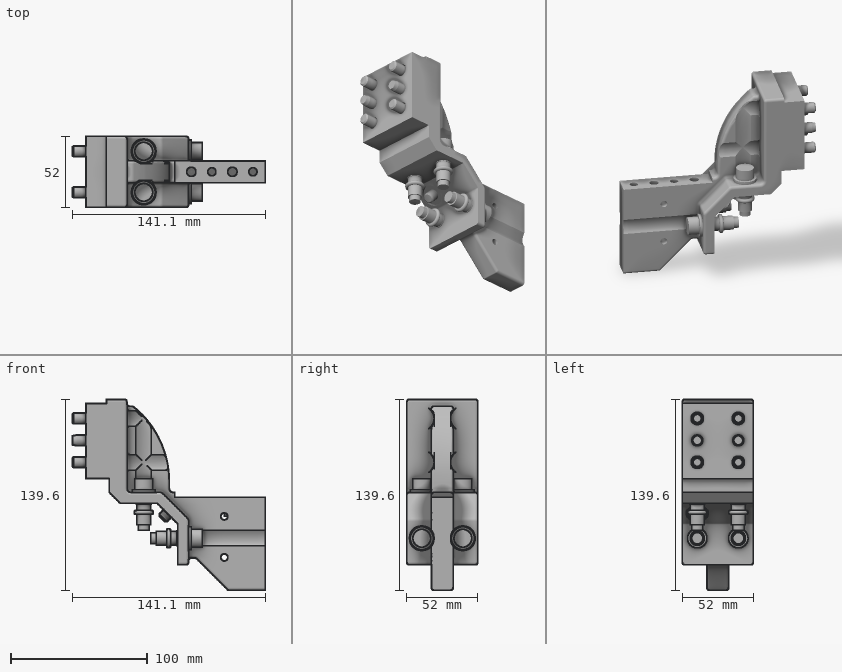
import cadquery as cq
import math


WIDTH = 52.0
BLOCK_HEIGHT = 55.0
LIP_X = 15.0
TOP_Z = 58.0
BACK_X = 30.0
NECK_X = 17.0
SHELF_Z = -10.0
PLATE_T = 8.0
FOOT_X = 75.0
FOOT_END_Z = -63.0
DIAGONAL_SUM = 34.0
BEND_R = 3.0
INNER_BEND_R = 1.5
EDGE_R = 2.0

RIB_W = 16.0
RIB_TOP_Z = 53.0
RIB_X = 60.9
RIB_ARC_R = 70.0
RIB_ARC_CENTER_Z = -2.0
RIB_TOE_X = 65.0
TAIL_TOP_Z = -13.5
TAIL_END_X = 131.06
TAIL_BOTTOM_Z = -81.56
TAIL_NECK_Z = -58.0
TAIL_CHAMFER_SUM = 22.4
TAIL_CORNER_R = 1.0
RIB_ROOT_R = 1.8
RIB_BURIAL = 4.0

PAIR_Y = 15.0
PIN_ROW_Z = 28.0
ROW_PITCH = 16.0
PIN_D = 8.0
PIN_LENGTH = 10.0
SCREW_CHAMFER = 1.0
DOWEL_TAPER_LENGTH = 3.0
DOWEL_TAPER = 0.7
SCREW_HOLE_D = 9.0
SCREW_HOLE_DEPTH = 10.0
CHANNEL_R = 9.0
SPOTFACE_DEPTH = 0.2

SHELF_STUD_X = 42.2
FOOT_STUD_Z = -43.5
WASHER_R = 8.4
WASHER_T = 2.0
HEAD_R = 6.5
HEAD_LENGTH = 10.0
SHANK_R = 5.2
COLLAR_R = 5.6
COLLAR_LENGTH = 0.6
SHANK_LENGTH = 15.8
TIP_R = 4.15
STUD_LENGTH = 19.7
RING_R = 1.5
RING_OFFSET = 6.6
RING_CENTER_R = 5.6

DIAGONAL_PIN_LENGTH = 5.6
RECESS_D = 16.0
RECESS_DEPTH = 2.0

TAIL_HOLE_X = 77.0
TAIL_HOLE_PITCH = 15.0
TAIL_HOLE_DIAMETERS = (6.8, 6.0, 6.8, 6.0)
TAIL_HOLE_DEPTH = 12.0
CROSS_HOLE_D = 5.0
CROSS_HOLE_X = 101.1
CROSS_HOLE_ZS = (-27.5, -57.5)
BUSHING_D = 12.0
BUSHED_HOLE = 2

UNDER_Z = SHELF_Z - PLATE_T
FOOT_INNER_X = FOOT_X - PLATE_T
OUTER_SUM = DIAGONAL_SUM + PLATE_T * math.sqrt(2)
HALF_RIB = RIB_W / 2
SCREW_ZS = (PIN_ROW_Z - ROW_PITCH, PIN_ROW_Z + ROW_PITCH)
SIDES = (-1, 1)
SEARCH_REACH = 0.5


def extruded_about_middle(outline, width):
    return outline.close().extrude(width / 2, both=True)


def edges_at(solid, x, z, half_span=WIDTH):
    """Edges whose middle is at (x, z), no farther than half_span from the middle plane."""
    low = (x - SEARCH_REACH, -half_span, z - SEARCH_REACH)
    high = (x + SEARCH_REACH, half_span, z + SEARCH_REACH)
    return solid.edges(cq.selectors.BoxSelector(low, high))


def bracket():
    outline = (
        cq.Workplane("XZ")
        .moveTo(0, 0)
        .lineTo(0, BLOCK_HEIGHT)
        .lineTo(LIP_X, BLOCK_HEIGHT)
        .lineTo(LIP_X, TOP_Z)
        .lineTo(BACK_X, TOP_Z)
        .lineTo(BACK_X, SHELF_Z)
        .lineTo(OUTER_SUM - SHELF_Z, SHELF_Z)
        .lineTo(FOOT_X, OUTER_SUM - FOOT_X)
        .lineTo(FOOT_X, FOOT_END_Z)
        .lineTo(FOOT_INNER_X, FOOT_END_Z)
        .lineTo(FOOT_INNER_X, DIAGONAL_SUM - FOOT_INNER_X)
        .lineTo(DIAGONAL_SUM - UNDER_Z, UNDER_Z)
        .lineTo(NECK_X + PLATE_T, UNDER_Z)
        .lineTo(NECK_X, UNDER_Z + PLATE_T)
        .lineTo(NECK_X, 0)
    )
    body = extruded_about_middle(outline, WIDTH)
    outer_bends = (
        (BACK_X, SHELF_Z),
        (OUTER_SUM - SHELF_Z, SHELF_Z),
        (FOOT_X, OUTER_SUM - FOOT_X),
    )
    for x, z in outer_bends:
        body = edges_at(body, x, z).fillet(BEND_R)
    body = edges_at(body, FOOT_INNER_X, DIAGONAL_SUM - FOOT_INNER_X).fillet(INNER_BEND_R)

    edge_middles = (
        ((LIP_X + BACK_X) / 2, TOP_Z),
        (BACK_X, TOP_Z),
        (BACK_X, (TOP_Z + SHELF_Z + BEND_R) / 2),
        (FOOT_X, FOOT_END_Z),
        ((FOOT_X + FOOT_INNER_X) / 2, FOOT_END_Z),
    )
    rounded = cq.Workplane()
    for x, z in edge_middles:
        rounded = rounded.add(edges_at(body, x, z).vals())
    return body.newObject(rounded.vals()).fillet(EDGE_R)


def rib():
    arc_center_x = RIB_X - RIB_ARC_R

    def on_arc(z):
        rise = z - RIB_ARC_CENTER_Z
        return arc_center_x + math.sqrt(RIB_ARC_R**2 - rise**2)

    arc_middle_z = (RIB_TOP_Z + RIB_ARC_CENTER_Z) / 2
    toe_bend = BEND_R * (1 - math.sqrt(0.5))
    inner_x = BACK_X - RIB_BURIAL
    inner_z = SHELF_Z - RIB_BURIAL
    inner_sum = OUTER_SUM - RIB_BURIAL * math.sqrt(2)
    foot_x = FOOT_X - RIB_BURIAL
    tail_neck_x = TAIL_CHAMFER_SUM - TAIL_NECK_Z
    tail_corner_x = TAIL_CHAMFER_SUM - TAIL_BOTTOM_Z
    outline = (
        cq.Workplane("XZ")
        .moveTo(inner_x, RIB_TOP_Z)
        .lineTo(on_arc(RIB_TOP_Z), RIB_TOP_Z)
        .threePointArc((on_arc(arc_middle_z), arc_middle_z), (RIB_X, RIB_ARC_CENTER_Z))
        .lineTo(RIB_X, SHELF_Z + BEND_R)
        .threePointArc((RIB_X + toe_bend, SHELF_Z + toe_bend), (RIB_X + BEND_R, SHELF_Z))
        .lineTo(RIB_TOE_X, SHELF_Z)
        .lineTo(RIB_TOE_X, TAIL_TOP_Z)
        .lineTo(TAIL_END_X, TAIL_TOP_Z)
        .lineTo(TAIL_END_X, TAIL_BOTTOM_Z)
        .lineTo(tail_corner_x, TAIL_BOTTOM_Z)
        .lineTo(tail_neck_x, TAIL_NECK_Z)
        .lineTo(foot_x, TAIL_NECK_Z)
        .lineTo(foot_x, inner_sum - foot_x)
        .lineTo(inner_sum - inner_z, inner_z)
        .lineTo(inner_x, inner_z)
    )
    body = extruded_about_middle(outline, RIB_W)
    body = edges_at(body, on_arc(RIB_TOP_Z), RIB_TOP_Z).fillet(BEND_R)
    body = edges_at(body, tail_neck_x, TAIL_NECK_Z).fillet(BEND_R)
    body = edges_at(body, tail_corner_x, TAIL_BOTTOM_Z).fillet(TAIL_CORNER_R)

    gusset_rim = edges_at(body, RIB_X, (RIB_ARC_CENTER_Z + SHELF_Z + BEND_R) / 2)
    tail_rim = edges_at(body, (TAIL_END_X + tail_corner_x) / 2, TAIL_BOTTOM_Z)
    return gusset_rim.add(tail_rim).fillet(EDGE_R)


def bracket_with_rib():
    """Rib and bracket joined, with a fillet all round the root of the rib."""
    body = bracket().union(rib())
    root_middle_z = (RIB_TOP_Z - EDGE_R + SHELF_Z + BEND_R) / 2
    return edges_at(body, BACK_X, root_middle_z, RIB_W).fillet(RIB_ROOT_R)


def cylinder(start, direction, radius, length):
    return cq.Workplane(cq.Solid.makeCylinder(radius, length, cq.Vector(*start), cq.Vector(*direction)))


def channels():
    """Round channels along the rib, in line with every screw and stud."""
    shelf_face = SHELF_Z - SPOTFACE_DEPTH
    foot_face = FOOT_X - SPOTFACE_DEPTH
    cuts = cq.Workplane()
    for side in SIDES:
        y = side * PAIR_Y
        for z in SCREW_ZS:
            cuts = cuts.add(cylinder((BACK_X, y, z), (1, 0, 0), CHANNEL_R, TAIL_END_X - BACK_X))
        cuts = cuts.add(cylinder((SHELF_STUD_X, y, shelf_face), (0, 0, 1), CHANNEL_R, TOP_Z - shelf_face))
        cuts = cuts.add(cylinder((foot_face, y, FOOT_STUD_Z), (1, 0, 0), CHANNEL_R, TAIL_END_X - foot_face))
    return cuts


def screw_holes():
    cuts = cq.Workplane()
    for side in SIDES:
        for z in SCREW_ZS:
            start = (0, side * PAIR_Y, z)
            cuts = cuts.add(cylinder(start, (1, 0, 0), SCREW_HOLE_D / 2, SCREW_HOLE_DEPTH))
    return cuts


def block_pins():
    """Two chamfered screw ends and a tapered dowel on either side."""
    pins = cq.Workplane()
    for side in SIDES:
        y = side * PAIR_Y
        for z in SCREW_ZS:
            screw = cylinder((-PIN_LENGTH, y, z), (1, 0, 0), PIN_D / 2, PIN_LENGTH + SCREW_HOLE_DEPTH)
            pins = pins.add(screw.faces("<X").chamfer(SCREW_CHAMFER))
        dowel = cylinder((-PIN_LENGTH, y, PIN_ROW_Z), (1, 0, 0), PIN_D / 2, PIN_LENGTH)
        pins = pins.add(dowel.faces("<X").chamfer(DOWEL_TAPER_LENGTH, DOWEL_TAPER))
    return pins


def stud():
    """Stud along Z with its head up; the plate face is the plane z = 0."""
    shank_end = -PLATE_T - SHANK_LENGTH
    tip_end = -PLATE_T - STUD_LENGTH
    profile = (
        cq.Workplane("XZ")
        .moveTo(0, tip_end)
        .lineTo(TIP_R, tip_end)
        .lineTo(TIP_R, shank_end)
        .lineTo(SHANK_R, shank_end)
        .lineTo(SHANK_R, -PLATE_T - COLLAR_LENGTH)
        .lineTo(COLLAR_R, -PLATE_T - COLLAR_LENGTH)
        .lineTo(COLLAR_R, -SPOTFACE_DEPTH)
        .lineTo(WASHER_R, -SPOTFACE_DEPTH)
        .lineTo(WASHER_R, WASHER_T)
        .lineTo(HEAD_R, WASHER_T)
        .lineTo(HEAD_R, HEAD_LENGTH)
        .lineTo(0, HEAD_LENGTH)
        .close()
    )
    ring = cq.Solid.makeTorus(RING_CENTER_R, RING_R, cq.Vector(0, 0, -PLATE_T - RING_OFFSET))
    return profile.revolve(360, (0, 0), (0, 1)).union(cq.Workplane(ring))


def studs():
    upright = stud()
    lying = upright.rotate((0, 0, 0), (0, 1, 0), 90)
    pairs = cq.Workplane()
    for side in SIDES:
        y = side * PAIR_Y
        pairs = pairs.add(upright.translate((SHELF_STUD_X, y, SHELF_Z)))
        pairs = pairs.add(lying.translate((FOOT_X, y, FOOT_STUD_Z)))
    return pairs


def diagonal_pin_axis():
    """Centre of the diagonal's underside and the direction into the plate."""
    x = (FOOT_INNER_X + DIAGONAL_SUM - UNDER_Z) / 2
    return cq.Vector(x, PAIR_Y, DIAGONAL_SUM - x), cq.Vector(1, 0, 1).normalized()


def diagonal_recess():
    center, inward = diagonal_pin_axis()
    return cylinder(center.toTuple(), inward.toTuple(), RECESS_D / 2, RECESS_DEPTH)


def diagonal_pin():
    center, inward = diagonal_pin_axis()
    tip = center - inward * DIAGONAL_PIN_LENGTH
    length = DIAGONAL_PIN_LENGTH + RECESS_DEPTH
    pin = cylinder(tip.toTuple(), inward.toTuple(), PIN_D / 2, length)
    return pin.faces(cq.selectors.DirectionMinMaxSelector(inward, False)).chamfer(SCREW_CHAMFER)


def cross_holes():
    cuts = cq.Workplane()
    for z in CROSS_HOLE_ZS:
        cuts = cuts.add(cylinder((CROSS_HOLE_X, -HALF_RIB, z), (0, 1, 0), CROSS_HOLE_D / 2, RIB_W))
    return cuts


def bushing():
    """Bushing around one top hole; it closes a quarter of the upper cross hole."""
    x = TAIL_HOLE_X + BUSHED_HOLE * TAIL_HOLE_PITCH
    length = TAIL_TOP_Z - CROSS_HOLE_ZS[0]
    return cylinder((x, 0, TAIL_TOP_Z), (0, 0, -1), BUSHING_D / 2, length)


def top_holes():
    cuts = cq.Workplane()
    for number, diameter in enumerate(TAIL_HOLE_DIAMETERS):
        x = TAIL_HOLE_X + number * TAIL_HOLE_PITCH
        cuts = cuts.add(cylinder((x, 0, TAIL_TOP_Z), (0, 0, -1), diameter / 2, TAIL_HOLE_DEPTH))
    return cuts


def cut_all(body, cuts):
    for cut in cuts.vals():
        body = body.cut(cq.Workplane(cut))
    return body


def join_all(body, additions):
    for addition in additions.vals():
        body = body.union(cq.Workplane(addition))
    return body


result = bracket_with_rib()
for cuts in (channels(), screw_holes(), diagonal_recess(), cross_holes()):
    result = cut_all(result, cuts)
for additions in (block_pins(), studs(), diagonal_pin(), bushing()):
    result = join_all(result, additions)
result = cut_all(result, top_holes())